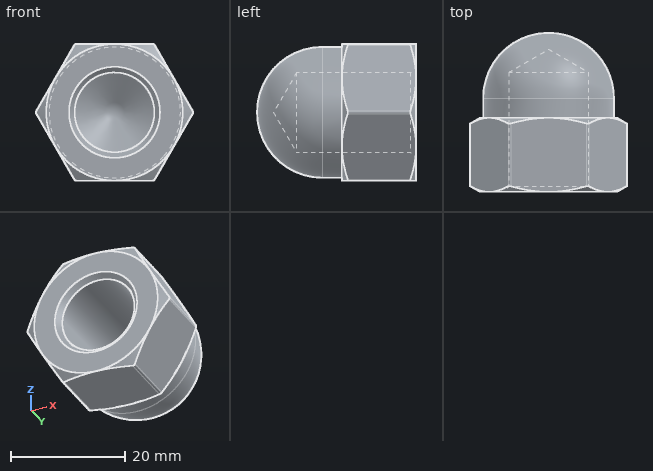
import cadquery as cq
import math

total_length = 27.92
across_flats = 24.0
hex_length = 13.0
corner_radius = 0.5
bearing_diameter = 23.95
end_chamfer_angle = 30.0
dome_radius = 23.0 / 2
bore_radius = 14.0 / 2
countersink_radius = 15.97 / 2
countersink_depth = 1.0
bore_depth = 21.0
drill_half_angle = 60.0

corner_reach = across_flats / 2 / math.cos(math.radians(30))


def revolve_about_y(profile):
    """Turn a closed (radius, Y) profile around the nut axis."""
    return profile.close().revolve(360, (0, 0, 0), (0, 1, 0))


def hexagon():
    """Hexagonal prism, flats up and down, rounded edges, chamfered ends."""
    prism = (
        cq.Workplane("XZ")
        .polygon(6, 2 * corner_reach)
        .extrude(-hex_length)
        .edges("|Y")
        .fillet(corner_radius)
    )
    bearing_radius = bearing_diameter / 2
    rise = (corner_reach - bearing_radius) * math.tan(math.radians(end_chamfer_angle))
    envelope = cq.Workplane("XY").polyline([
        (0, 0),
        (bearing_radius, 0),
        (corner_reach, rise),
        (corner_reach, hex_length - rise),
        (bearing_radius, hex_length),
        (0, hex_length),
    ])
    return prism.intersect(revolve_about_y(envelope))


def dome():
    """Round collar ending in a hemisphere, running through the hexagon."""
    dome_center = total_length - dome_radius
    diagonal = dome_radius * math.sqrt(0.5)
    profile = (
        cq.Workplane("XY")
        .lineTo(dome_radius, 0)
        .lineTo(dome_radius, dome_center)
        .threePointArc((diagonal, dome_center + diagonal), (0, total_length))
    )
    return revolve_about_y(profile)


def bore():
    """Countersunk blind hole with a conical bottom."""
    tip_length = bore_radius / math.tan(math.radians(drill_half_angle))
    profile = cq.Workplane("XY").polyline([
        (0, 0),
        (countersink_radius, 0),
        (bore_radius, countersink_depth),
        (bore_radius, bore_depth),
        (0, bore_depth + tip_length),
    ])
    return revolve_about_y(profile)


result = hexagon().union(dome()).cut(bore())